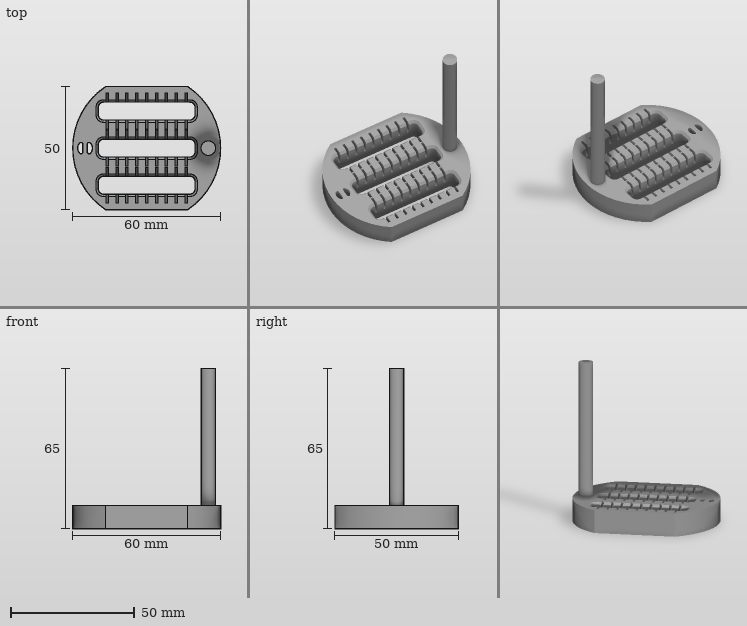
import cadquery as cq

total_height = 65.0
base_height = 9.5
base_diameter = 60.0
base_width = 50.0

rod_diameter = 5.9
rod_x = 24.95
eye_diameter = 5.9
eye_bar_width = 1.95
eye_corner_radius = 0.65

window_count = 3
window_pitch = 15.0
window_length = 39.05
window_width = 7.15
window_corner_radius = 2.0
window_chamfer = 1.0

groove_count = 9
groove_row_length = 32.0
groove_pitch = groove_row_length / (groove_count - 1)
groove_width = 1.05
groove_reach = 7.3
groove_wall_depth = 5.5


def centred_positions(count, pitch):
    return [(i - (count - 1) / 2) * pitch for i in range(count)]


def make_disc():
    disc = cq.Workplane("XY").circle(base_diameter / 2).extrude(base_height)
    flats = cq.Workplane("XY").box(base_diameter, base_width, base_height, centered=(True, True, False))
    return disc.intersect(flats)


def make_eye():
    """Two D-shaped through openings, one on each side of the bar."""
    bar = cq.Workplane("XY").box(eye_bar_width, eye_diameter, base_height, centered=(True, True, False))
    openings = cq.Workplane("XY").circle(eye_diameter / 2).extrude(base_height).cut(bar)
    return openings.edges("|Z").fillet(eye_corner_radius).translate((-rod_x, 0, 0))


def cut_windows(base):
    """Through openings with rounded corners, chamfered along their top edges."""
    window_positions = [(0, y) for y in centred_positions(window_count, window_pitch)]
    window = cq.Sketch().rect(window_length, window_width).vertices().fillet(window_corner_radius)
    windows = cq.Workplane("XY").pushPoints(window_positions).placeSketch(window).extrude(base_height)
    plate = base.cut(windows)
    rims = plate.faces(">Z").val().innerWires()
    rim_edges = [edge for rim in rims for edge in rim.Edges()]
    return plate.newObject(rim_edges).chamfer(window_chamfer)


def make_groove():
    """Groove on the +Y side of a window: a round floor falling at 45 degrees from an upright end wall."""
    end_depth = groove_wall_depth - (groove_reach - window_width / 2)
    radius = groove_width / 2
    section = cq.Plane(
        origin=(0, groove_reach, base_height - end_depth), xDir=(1, 0, 0), normal=(0, -1, -1)
    )
    trough = (
        cq.Workplane(section)
        .moveTo(-radius, radius)
        .threePointArc((0, 0), (radius, radius))
        .lineTo(radius, groove_reach)
        .lineTo(-radius, groove_reach)
        .close()
        .extrude(groove_reach, both=True)
    )
    reach_limit = cq.Workplane("XY").box(
        groove_width, groove_reach, 2 * base_height, centered=(True, False, False)
    )
    return trough.intersect(reach_limit)


def make_base():
    base = cut_windows(make_disc()).cut(make_eye())
    far_groove = make_groove()
    near_groove = far_groove.mirror("XZ")
    for y in centred_positions(window_count, window_pitch):
        for x in centred_positions(groove_count, groove_pitch):
            base = base.cut(far_groove.translate((x, y, 0)))
            base = base.cut(near_groove.translate((x, y, 0)))
    return base


def make_rod():
    rod_height = total_height - base_height
    return (
        cq.Workplane("XY", origin=(rod_x, 0, base_height))
        .circle(rod_diameter / 2).extrude(rod_height)
    )


base = make_base()
rod = make_rod()
result = cq.Compound.makeCompound([base.val(), rod.val()])